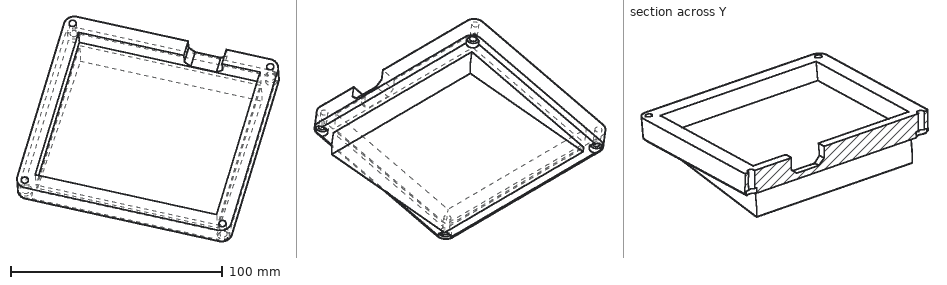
import cadquery as cq
import math

tray_width = 105.0
tray_length = 95.0
tray_height = 13.0
corner_radius = 5.0
bottom_chamfer = 2.0

wall = 8.0
pocket_width = tray_width - 2 * wall
pocket_length = tray_length - 2 * wall
pocket_depth = 10.0

notch_width = 18.7
notch_depth = 9.5
notch_chamfer = 3.0
notch_center_x = 16.5

hole_diameter = 3.4
head_diameter = 6.0
head_depth = 3.0
hole_inset = 4.0

tilt = 8.0
overall_height = 27.9
heel_height = 6.0
tilt_radians = math.radians(tilt)

ground_z = tray_length / 2 * math.sin(tilt_radians) - overall_height


def make_tray():
    """Rounded block with its top face on Z = 0 and its lower rim chamfered."""
    block = cq.Workplane("XY").box(tray_width, tray_length, tray_height, centered=(True, True, False))
    block = block.translate((0, 0, -tray_height))
    return block.edges("|Z").fillet(corner_radius).faces("<Z").edges().chamfer(bottom_chamfer)


def make_foot():
    """Straight prism below the tray, longer than needed until it is trimmed flat."""
    return (
        cq.Workplane("XY")
        .workplane(offset=-tray_height)
        .rect(pocket_width, pocket_length)
        .extrude(-overall_height)
    )


def make_pocket():
    return cq.Workplane("XY").rect(pocket_width, pocket_length).extrude(-pocket_depth)


def make_notch():
    """Cable notch with chamfered lower corners, running through the rear wall."""
    notch = cq.Workplane("XY").box(notch_width, wall, notch_depth)
    notch = notch.faces("<Z").edges("|Y").chamfer(notch_chamfer)
    return notch.translate((notch_center_x, (tray_length - wall) / 2, -notch_depth / 2))


def make_screw_holes():
    """Through holes in the four corners, counterbored from below."""
    spacing_x = tray_width - 2 * hole_inset
    spacing_y = tray_length - 2 * hole_inset
    corners = cq.Workplane("XY").rect(spacing_x, spacing_y, forConstruction=True).vertices()
    shafts = corners.circle(hole_diameter / 2).extrude(-tray_height)
    heads = (
        cq.Workplane("XY")
        .workplane(offset=-tray_height)
        .rect(spacing_x, spacing_y, forConstruction=True)
        .vertices()
        .circle(head_diameter / 2)
        .extrude(head_depth)
    )
    return shafts.union(heads)


def make_ground():
    """Block whose top face is the level ground under the tilted part."""
    size = 2 * tray_width
    ground = cq.Workplane("XY").box(size, size, size, centered=(True, True, False))
    return ground.translate((0, 0, ground_z - size))


def make_heel_trim():
    """Block behind the foot that makes the lowest part of its rear face vertical."""
    heel_top_z = ground_z + heel_height
    rear_slant_length = (pocket_length / 2 * math.sin(tilt_radians) - heel_top_z) / math.cos(tilt_radians)
    heel_y = pocket_length / 2 * math.cos(tilt_radians) + rear_slant_length * math.sin(tilt_radians)
    trim = cq.Workplane("XY").box(tray_width, wall, heel_height, centered=(True, False, False))
    return trim.translate((0, heel_y, ground_z))


tray = make_tray().union(make_foot())
tray = tray.cut(make_pocket()).cut(make_notch()).cut(make_screw_holes())
tilted_tray = tray.rotate((0, 0, 0), (1, 0, 0), tilt)
result = tilted_tray.cut(make_ground()).cut(make_heel_trim())